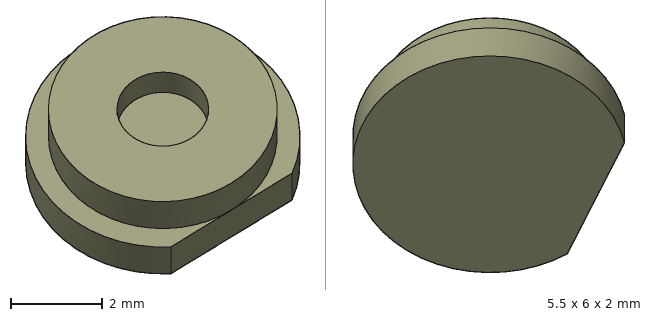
import cadquery as cq

flange_diameter = 6.0
boss_diameter = flange_diameter * 5 / 6
bore_diameter = flange_diameter / 3
total_height = flange_diameter / 3
flange_height = total_height / 2
bore_depth = 0.75

flat_x = boss_diameter / 2


def make_flange():
    """Round base disc, cut off by a flat on its +X side."""
    disc = cq.Workplane("XY").circle(flange_diameter / 2).extrude(flange_height)
    beyond_flat = (
        cq.Workplane("XY")
        .box(flange_diameter, flange_diameter, flange_height, centered=(False, True, False))
        .translate((flat_x, 0, 0))
    )
    return disc.cut(beyond_flat)


def make_boss():
    """Smaller concentric disc that reaches from the base to the top face."""
    return cq.Workplane("XY").circle(boss_diameter / 2).extrude(total_height)


def make_bore():
    """Blind flat-bottomed hole sunk from the top face."""
    return (
        cq.Workplane("XY")
        .workplane(offset=total_height - bore_depth)
        .circle(bore_diameter / 2)
        .extrude(bore_depth)
    )


result = make_flange().union(make_boss()).cut(make_bore())